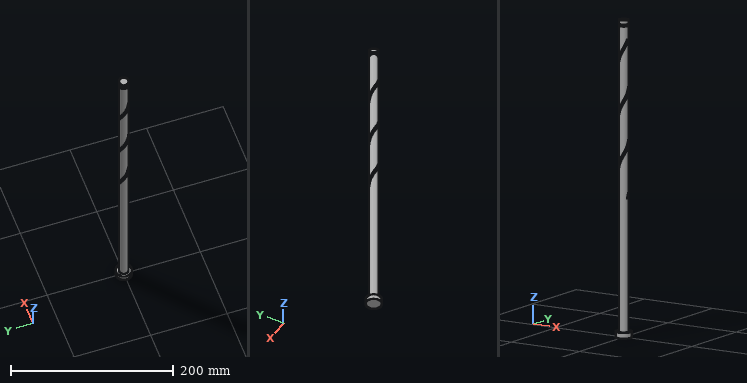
import cadquery as cq

total_length = 400.0
head_diameter = 20.0
head_height = 7.0
shaft_diameter = 12.0
shaft_radius = shaft_diameter / 2

tip_collar_height = 5.0
ring_groove_width = 2.5
ring_groove_depth = 1.0

spiral_turns = 3
spiral_height = 200.0
spiral_pitch = spiral_height / spiral_turns
spiral_top = 375.5
spiral_bottom = spiral_top - spiral_height
spiral_groove_radius = 1.0


def headed_pin():
    head = cq.Workplane("XY").circle(head_diameter / 2).extrude(head_height)
    shaft = cq.Workplane("XY").circle(shaft_radius).extrude(total_length)
    return head.union(shaft)


def ring_groove_cutter():
    groove_bottom = total_length - tip_collar_height - ring_groove_width
    return (
        cq.Workplane("XY", origin=(0, 0, groove_bottom))
        .circle(head_diameter / 2)
        .circle(shaft_radius - ring_groove_depth)
        .extrude(ring_groove_width)
    )


def spiral_groove_cutter():
    """Round bar wound around the shaft, centred on its surface."""
    path = cq.Wire.makeHelix(spiral_pitch, spiral_height, shaft_radius)
    start_tangent = path.tangentAt(0)
    profile_plane = cq.Plane(
        origin=(shaft_radius, 0, 0), xDir=(1, 0, 0), normal=start_tangent
    )
    bar = cq.Workplane(profile_plane).circle(spiral_groove_radius).sweep(path, isFrenet=True)
    return bar.translate((0, 0, spiral_bottom))


result = headed_pin().cut(ring_groove_cutter()).cut(spiral_groove_cutter())